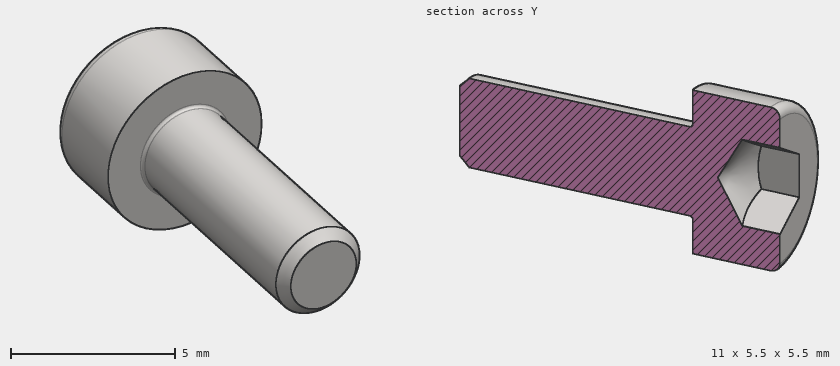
import cadquery as cq
import math

total_length = 11.0
head_diameter = 5.5
head_length = 3.0
head_edge_radius = 0.33
shank_diameter = 3.0
neck_fillet_radius = 0.1
tip_chamfer = 0.33

socket_across_flats = 2.5
socket_depth = 1.3
socket_cone_angle = 120.0
socket_across_corners = socket_across_flats / math.cos(math.radians(30))


def make_body():
    """Head and shank with their edge treatments."""
    head = cq.Workplane("YZ").circle(head_diameter / 2).extrude(head_length)
    head = head.faces("<X").edges().fillet(head_edge_radius)
    shank = (
        cq.Workplane("YZ", origin=(head_length, 0, 0))
        .circle(shank_diameter / 2)
        .extrude(total_length - head_length)
        .faces(">X")
        .edges()
        .chamfer(tip_chamfer)
    )
    neck_radius = shank_diameter / 2
    neck_fillet = (
        cq.Workplane("XY")
        .moveTo(head_length, 0)
        .lineTo(head_length, neck_radius + neck_fillet_radius)
        .radiusArc((head_length + neck_fillet_radius, neck_radius), -neck_fillet_radius)
        .lineTo(head_length + neck_fillet_radius, 0)
        .close()
        .revolve(360, (0, 0, 0), (1, 0, 0))
    )
    return head.union(shank).union(neck_fillet)


def make_socket():
    """Hexagonal prism ending in a cone that reaches the hexagon corners."""
    prism = (
        cq.Workplane("YZ")
        .transformed(rotate=(0, 0, 90))
        .polygon(6, socket_across_corners)
        .extrude(socket_depth)
    )
    cone_radius = socket_across_corners / 2
    cone_height = cone_radius / math.tan(math.radians(socket_cone_angle / 2))
    cone = cq.Workplane(
        cq.Solid.makeCone(cone_radius, 0, cone_height, cq.Vector(socket_depth, 0, 0), cq.Vector(1, 0, 0))
    )
    hexagon_column = (
        cq.Workplane("YZ", origin=(socket_depth, 0, 0))
        .transformed(rotate=(0, 0, 90))
        .polygon(6, socket_across_corners)
        .extrude(cone_height)
    )
    return prism.union(cone.intersect(hexagon_column))


result = make_body().cut(make_socket())